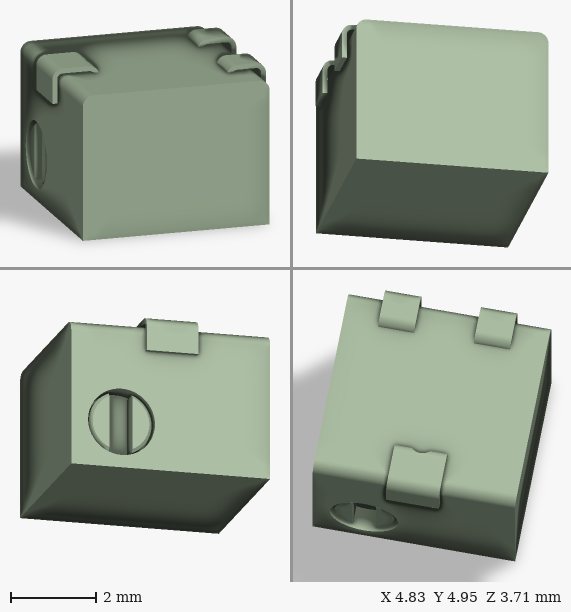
import cadquery as cq
import math

HOUSING_X = 4.83
HOUSING_Z = 3.53
OVERALL_Y = 4.95
TERMINAL_STANDOFF = 0.18
HOUSING_Y = OVERALL_Y - 2 * TERMINAL_STANDOFF
HOUSING_EDGE_RADIUS = 0.25

STRIP_THICKNESS = 0.12
BEND_RADIUS = 0.248
BEND_INNER_RADIUS = BEND_RADIUS - STRIP_THICKNESS
LEG_HEIGHT = 0.84
STRIP_TOP = HOUSING_Z + TERMINAL_STANDOFF
REAR_STRIP_WIDTH = 0.86
REAR_STRIP_REACH = 0.95
REAR_STRIP_SPACING = 2.285
FRONT_STRIP_WIDTH = 1.255
FRONT_STRIP_REACH = 1.15
NOTCH_RADIUS = 0.248
NOTCH_DEPTH = 0.175

ROTOR_X = -1.195
ROTOR_Z = 1.115
ROTOR_RADIUS = 0.76
ROTOR_CLEARANCE = 0.05
ROTOR_RECESS = 0.05
ROTOR_CHAMFER = 0.075
SLOT_WIDTH = 0.56
SLOT_DEPTH = 0.5
ROTOR_BASE = 0.248

HOUSING_FRONT = -HOUSING_Y / 2
ROTOR_FRONT = HOUSING_FRONT + ROTOR_RECESS
ROTOR_LENGTH = SLOT_DEPTH + ROTOR_BASE


def rotor_plane(y):
    """Plane facing -Y, centred on the rotor axis at the given Y."""
    return cq.Plane(origin=(ROTOR_X, y, ROTOR_Z), xDir=(1, 0, 0), normal=(0, -1, 0))


def make_housing():
    block = cq.Workplane("XY").box(HOUSING_X, HOUSING_Y, HOUSING_Z, centered=(True, True, False))
    block = block.edges("|X and >Z").fillet(HOUSING_EDGE_RADIUS)
    wide_bore = (
        cq.Workplane(rotor_plane(HOUSING_FRONT))
        .circle(ROTOR_RADIUS + ROTOR_CLEARANCE)
        .extrude(-(ROTOR_RECESS + SLOT_DEPTH))
    )
    rotor_seat = (
        cq.Workplane(rotor_plane(HOUSING_FRONT))
        .circle(ROTOR_RADIUS)
        .extrude(-(ROTOR_RECESS + ROTOR_LENGTH))
    )
    return block.cut(wide_bore).cut(rotor_seat)


def make_rotor():
    drum = cq.Workplane(rotor_plane(ROTOR_FRONT)).circle(ROTOR_RADIUS).extrude(-ROTOR_LENGTH)
    drum = drum.faces("<Y").chamfer(ROTOR_CHAMFER)
    slot = (
        cq.Workplane(rotor_plane(ROTOR_FRONT))
        .rect(SLOT_WIDTH, 2 * ROTOR_RADIUS)
        .extrude(-SLOT_DEPTH)
    )
    return drum.cut(slot)


def make_strip(width, reach):
    """Front terminal strip: free leg, bend, flat top, and a bend that lands on the housing top."""
    outer_y = -OVERALL_Y / 2
    inner_y = outer_y + STRIP_THICKNESS
    leg_bottom = STRIP_TOP - LEG_HEIGHT
    under_top = STRIP_TOP - STRIP_THICKNESS
    bend_z = STRIP_TOP - BEND_RADIUS
    leg_bend_y = outer_y + BEND_RADIUS
    end_bend_y = outer_y + reach - BEND_RADIUS

    def end_arc_point(radius, angle):
        return (end_bend_y + radius * math.cos(angle), bend_z + radius * math.sin(angle))

    def leg_arc_middle(radius):
        offset = radius * math.sqrt(0.5)
        return (leg_bend_y - offset, bend_z + offset)

    landing_height = HOUSING_Z - bend_z
    outer_landing = math.asin(landing_height / BEND_RADIUS)
    inner_landing = math.asin(landing_height / BEND_INNER_RADIUS)
    upright = math.pi / 2

    profile = (
        cq.Workplane("YZ")
        .moveTo(outer_y, leg_bottom)
        .lineTo(outer_y, bend_z)
        .threePointArc(leg_arc_middle(BEND_RADIUS), (leg_bend_y, STRIP_TOP))
        .lineTo(end_bend_y, STRIP_TOP)
        .threePointArc(
            end_arc_point(BEND_RADIUS, (upright + outer_landing) / 2),
            end_arc_point(BEND_RADIUS, outer_landing),
        )
        .lineTo(*end_arc_point(BEND_INNER_RADIUS, inner_landing))
        .threePointArc(
            end_arc_point(BEND_INNER_RADIUS, (upright + inner_landing) / 2),
            (end_bend_y, under_top),
        )
        .lineTo(leg_bend_y, under_top)
        .threePointArc(leg_arc_middle(BEND_INNER_RADIUS), (inner_y, bend_z))
        .lineTo(inner_y, leg_bottom)
        .close()
    )
    return profile.extrude(width / 2, both=True)


def make_front_terminal():
    strip = make_strip(FRONT_STRIP_WIDTH, FRONT_STRIP_REACH)
    end_y = -OVERALL_Y / 2 + FRONT_STRIP_REACH
    notch = (
        cq.Workplane("XY", origin=(0, end_y - NOTCH_DEPTH + NOTCH_RADIUS, HOUSING_Z))
        .circle(NOTCH_RADIUS)
        .extrude(TERMINAL_STANDOFF)
    )
    return strip.cut(notch)


def make_rear_terminal(x):
    strip = make_strip(REAR_STRIP_WIDTH, REAR_STRIP_REACH)
    return strip.rotate((0, 0, 0), (0, 0, 1), 180).translate((x, 0, 0))


housing = make_housing()
rotor = make_rotor()
front_terminal = make_front_terminal()
rear_terminals = []
for side in (-1, 1):
    rear_terminals.append(make_rear_terminal(side * REAR_STRIP_SPACING / 2))

result = cq.Compound.makeCompound(
    [
        housing.val(),
        rotor.val(),
        front_terminal.val(),
        *[terminal.val() for terminal in rear_terminals],
    ]
)